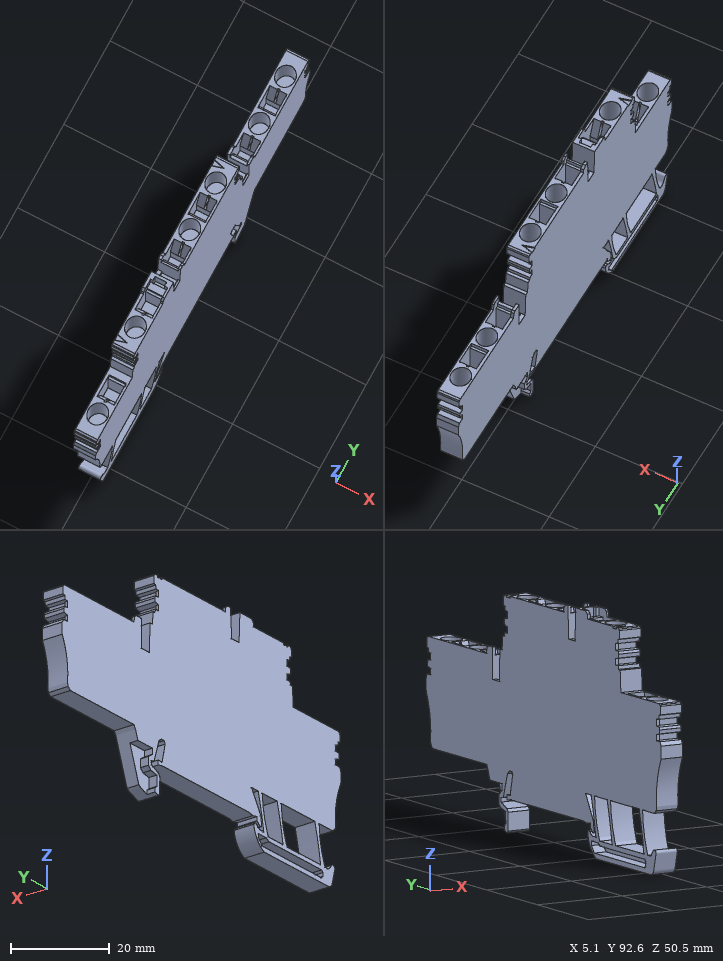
import cadquery as cq
thickness = 5.1
half_length = 46.3
total_height = 50.5
near_face = -thickness / 2

body_bottom = 12.9
rail_seat = 7.0
lower_deck = 35.7
upper_deck = 48.9
lower_lip_top = 37.4

lower_nose = half_length - 0.3
upper_front_nose = -29.9
upper_back_nose = 15.8
upper_middle = (upper_front_nose + upper_back_nose) / 2

gap_floor = 1.5
tooth_gaps = [(3.3, 4.7), (6.5, 7.8)]
tooth_profile = [
    (0.65, 0), (0.2, 0.2), (0, 0.5), (0, 2.2), (0.6, 2.4), (0.65, 3.2),
    (gap_floor, 3.3), (gap_floor, 4.7), (0.5, 4.8), (0.3, 5.4), (0.4, 6.2),
    (gap_floor, 6.5), (gap_floor, 7.8),
]
lower_tooth_foot = [(0.2, 7.8), (-0.3, 8.6)]
upper_tooth_foot = [(0.5, 7.8), (0.4, 8.5), (-0.3, 8.6)]
tooth_web_x = -1.85
tooth_undercut = 0.4

lower_slot_back, lower_slot_front, lower_slot_floor = 20.0, 17.4, 30.7
upper_slot_back, upper_slot_front, upper_slot_floor = -9.9, -12.4, 43.6
slot_draft = 0.3

funnel_length, funnel_width, funnel_depth = 4.8, 4.3, 7.4
pocket_offset = 3.2
pocket_length = 5.2
pocket_depth = 7.4
pocket_x_min, pocket_x_max = -1.85, 2.0
ramp_length, ramp_depth = 1.7, 4.2
groove_width, groove_overrun = 0.5, 0.3
ledge_length, ledge_depth = 0.6, 0.9

wire_entries = [
    (40.5, lower_deck, -1),
    (29.2, lower_deck, -1),
    (10.4, upper_deck, -1),
    (-0.8, upper_deck, -1),
    (-24.3, upper_deck, 1),
    (-40.6, lower_deck, 1),
]

floor_recess_x_min, floor_recess_depth, floor_recess_margin = -1.6, 0.9, 0.3
lip_recess_back, lip_recess_step, lip_recess_front = -13.3, -14.3, -16.5
lip_recess_half_width = 1.3
lip_recess_depth, lip_shelf_depth = 3.2, 1.85
lip_opening_length = 2.5
arrow_width, arrow_depth = 1.4, 0.4
arrow_inset = 1.9
foot_groove_depth = 2.8
latch_recess_depth = 2.0


def side_sketch():
    """Y-Z workplane on the -X face, from which shapes are extruded towards +X."""
    return cq.Workplane("YZ", origin=(near_face, 0, 0))


def side_prism(points, depth):
    """Prism with the given (y, z) outline, reaching in from the -X face."""
    return side_sketch().polyline(points).close().extrude(depth)


def box(x_range, y_range, z_range):
    """Box between two limits along each axis."""
    size = [abs(b - a) for a, b in (x_range, y_range, z_range)]
    middle = [(a + b) / 2 for a, b in (x_range, y_range, z_range)]
    return cq.Workplane("XY").box(*size).translate(tuple(middle))


def toothed_end(nose, deck, outward):
    """Tooth points from the deck down; outward is the Y direction of the end."""
    tooth_foot = upper_tooth_foot if deck == upper_deck else lower_tooth_foot
    return [(nose - outward * inset, deck - drop) for inset, drop in tooth_profile + tooth_foot]


def body_outline():
    """Closed Y-Z outline of the housing with both decks, the lips and the rail seat."""
    back_lower = toothed_end(lower_nose, lower_deck, 1)
    back_upper = toothed_end(upper_back_nose, upper_deck, 1)
    front_upper = toothed_end(upper_front_nose, upper_deck, -1)
    front_lower = toothed_end(-lower_nose, lower_deck, -1)
    shoulder = 24.45
    wall_slope = 0.6
    waist, waist_z = half_length - 1.85, 16.2
    corner = [(half_length - 1.8, 14.35), (half_length - 1.9, 13.5), (half_length - 2.7, body_bottom)]

    lower_lip = [
        (22.5, lower_deck), (22.2, 37.0), (21.8, lower_lip_top),
        (lower_slot_back, lower_lip_top), (lower_slot_back, lower_slot_floor),
        (lower_slot_front, lower_slot_floor), (lower_slot_front - slot_draft, lower_lip_top),
        (16.4, lower_lip_top),
    ]
    upper_lip = [
        (-8.0, upper_deck), (-8.0, 49.9), (-8.8, total_height),
        (upper_slot_back + slot_draft, total_height), (upper_slot_back, upper_slot_floor),
        (upper_slot_front, upper_slot_floor), (upper_slot_front - slot_draft, total_height),
        (-16.5, total_height), (-17.2, 49.9), (-17.3, upper_deck),
    ]
    rail_side = [
        (-38.9, body_bottom), (-16.6, body_bottom),
        (-19.6, 7.7), (-19.9, 5.4), (-19.4, 5.2), (-18.3, 6.1), (-18.3, rail_seat),
        (-16.9, rail_seat - 0.3), (-15.7, rail_seat),
        (13.15, rail_seat), (14.4, rail_seat - 0.3), (14.4, 7.9), (13.15, 7.9),
        (12.1, 12.2), (12.5, body_bottom),
    ]
    outline = side_sketch().moveTo(half_length, shoulder)
    for point in back_lower[::-1] + lower_lip + back_upper[::-1] + upper_lip + front_upper:
        outline = outline.lineTo(*point)
    outline = outline.lineTo(upper_front_nose - wall_slope, lower_deck)
    for point in front_lower:
        outline = outline.lineTo(*point)
    outline = outline.lineTo(-half_length, shoulder)
    front_corner = [(-y, z) for y, z in corner]
    outline = outline.threePointArc((-waist, waist_z), front_corner[0])
    for point in front_corner[1:] + rail_side + corner[::-1]:
        outline = outline.lineTo(*point)
    return outline.threePointArc((waist, waist_z), (half_length, shoulder)).close()


def latch():
    """Sprung hook under the back end, thinned on its -X side."""
    root_overlap = 0.9
    hook = side_prism([
        (22.5, body_bottom), (21.9, 11.9), (18.2, 1.6), (17.5, 1.1), (14.35, 0), (13.9, 0.5), (13.9, 4.35),
        (14.35, 5.0), (16.7, 6.0), (16.7, 6.9), (15.8, 7.0), (14.2, 12.2), (13.4, body_bottom),
        (13.4, body_bottom + root_overlap), (22.5, body_bottom + root_overlap),
    ], thickness)
    recess = side_prism([
        (23.15, 9.8), (16.4, 9.8), (16.4, 8.4), (17.7, 7.5), (17.7, 5.6), (16.85, 4.7),
        (14.9, 4.35), (14.9, 1.85), (15.5, 1.4), (15.5, -0.9), (23.15, -0.9),
    ], latch_recess_depth)
    return hook.cut(recess)


def strut(top_back, top_front):
    """Slightly bowed leg joining the housing to the foot, flared where it meets the foot."""
    lean, bow = -1.8, 0.3
    flare_width, flare_height = 0.2, 0.9
    root_overlap = 0.2
    top, middle, bottom = body_bottom + root_overlap, 8.3, 3.6
    return (
        side_sketch()
        .moveTo(top_back, top)
        .threePointArc((top_back + lean / 2 - bow, middle), (top_back + lean - bow, bottom))
        .lineTo(top_front + lean - bow - flare_width, bottom)
        .lineTo(top_front + lean, bottom + flare_height)
        .threePointArc((top_front + lean / 2 + bow, middle), (top_front, top))
        .close()
        .extrude(thickness)
    )


def foot():
    """Fixed rail foot with its legs and the long groove in its side."""
    sole = (
        side_sketch()
        .moveTo(-17.3, 5.0)
        .threePointArc((-18.6, 1.8), (-20.7, 0))
        .lineTo(-42.1, 0)
        .threePointArc((-43.0, 0.4), (-43.4, 1.2))
        .lineTo(-44.3, 4.5)
        .threePointArc((-43.9, 5.3), (-43.15, 5.1))
        .lineTo(-42.5, 4.3)
        .threePointArc((-41.95, 3.9), (-41.4, 3.9))
        .lineTo(-21.2, 3.9)
        .lineTo(-20.4, 4.6)
        .threePointArc((-19.2, 4.5), (-18.3, 5.3))
        .lineTo(-17.6, 5.5)
        .close()
        .extrude(thickness)
    )
    groove = side_prism([
        (-18.9, 3.4), (-21.4, 3.4), (-22.3, 2.9), (-39.8, 2.9), (-40.2, 2.4), (-40.2, 1.6),
        (-39.8, 1.1), (-20.0, 1.1), (-18.9, 2.5),
    ], foot_groove_depth)
    body = sole.cut(groove)
    for top_back, top_front in [(-18.7, -20.1), (-25.0, -26.4), (-37.5, -39.0)]:
        body = body.union(strut(top_back, top_front))
    return body


def wire_entry(centre, deck, toward_pocket):
    """Oval funnel and the spring pocket next to it, with a grooved ramp and an end ledge."""
    def at(distance):
        return centre + toward_pocket * (pocket_offset + distance)

    funnel = (
        cq.Workplane("XY", origin=(0, centre, deck - funnel_depth))
        .ellipse(funnel_width / 2, funnel_length / 2)
        .extrude(funnel_depth)
    )
    top = total_height if deck == upper_deck else lower_lip_top
    pocket = (
        cq.Workplane("YZ", origin=(pocket_x_min, 0, 0))
        .polyline([
            (at(0), top), (at(0), deck), (at(ramp_length), deck - ramp_depth),
            (at(ramp_length), deck - pocket_depth), (at(pocket_length - ledge_length), deck - pocket_depth),
            (at(pocket_length - ledge_length), deck - ledge_depth), (at(pocket_length), deck - ledge_depth),
            (at(pocket_length), top),
        ])
        .close()
        .extrude(pocket_x_max - pocket_x_min)
    )
    groove_middle = (pocket_x_min + pocket_x_max) / 2
    groove = box(
        (groove_middle - groove_width / 2, groove_middle + groove_width / 2),
        (at(-groove_overrun), at(ramp_length)),
        (deck - ramp_depth, deck),
    )
    return funnel.union(pocket).union(groove)


def slot_floor_recess(front, back, floor):
    """Shallow sink in the floor of a marker slot."""
    return box(
        (floor_recess_x_min, pocket_x_max),
        (front + floor_recess_margin, back),
        (floor - floor_recess_depth, floor),
    )


def lip_opening(slot_back, deck, lip_top):
    """Gap through the lip behind a marker slot, as wide as the pocket and down to the deck."""
    return box((pocket_x_min, pocket_x_max), (slot_back, slot_back + lip_opening_length), (deck, lip_top))


def lip_recess():
    """Stepped opening in the front upper lip, running into the pocket behind it."""
    narrow = box(
        (-lip_recess_half_width, lip_recess_half_width),
        (lip_recess_step, lip_recess_back),
        (total_height - lip_recess_depth, total_height),
    )
    wide = box(
        (pocket_x_min, pocket_x_max),
        (lip_recess_front, lip_recess_step),
        (total_height - lip_shelf_depth, total_height),
    )
    return narrow.union(wide)


def arrow(centre):
    """Triangular mark in the upper deck, its base on the -X face."""
    half = arrow_width / 2
    return (
        cq.Workplane("XY", origin=(0, 0, upper_deck - arrow_depth))
        .polyline([(near_face, centre - half), (near_face, centre + half), (0, centre)])
        .close()
        .extrude(arrow_depth)
    )


def tooth_undercuts(nose, deck, outward):
    """Deepening of the tooth gaps everywhere but in a thin web on the -X side."""
    outer = nose - outward * gap_floor
    upper_cut, lower_cut = [
        box(
            (tooth_web_x, thickness / 2),
            (outer - outward * tooth_undercut, outer),
            (deck - bottom_drop, deck - top_drop),
        )
        for top_drop, bottom_drop in tooth_gaps
    ]
    return upper_cut.union(lower_cut)


result = body_outline().extrude(thickness).union(latch()).union(foot())

for centre, deck, toward_pocket in wire_entries:
    result = result.cut(wire_entry(centre, deck, toward_pocket))

result = result.cut(slot_floor_recess(lower_slot_front, lower_slot_back, lower_slot_floor))
result = result.cut(slot_floor_recess(upper_slot_front, upper_slot_back, upper_slot_floor))
result = result.cut(lip_opening(lower_slot_back, lower_deck, lower_lip_top))
result = result.cut(lip_opening(upper_slot_back, upper_deck, total_height))
result = result.cut(lip_recess())

arrow_reach = (upper_back_nose - upper_front_nose) / 2 - arrow_inset
for side in (-1, 1):
    result = result.cut(arrow(upper_middle + side * arrow_reach))

toothed_ends = [
    (lower_nose, lower_deck, 1),
    (-lower_nose, lower_deck, -1),
    (upper_back_nose, upper_deck, 1),
    (upper_front_nose, upper_deck, -1),
]
for nose, deck, outward in toothed_ends:
    result = result.cut(tooth_undercuts(nose, deck, outward))